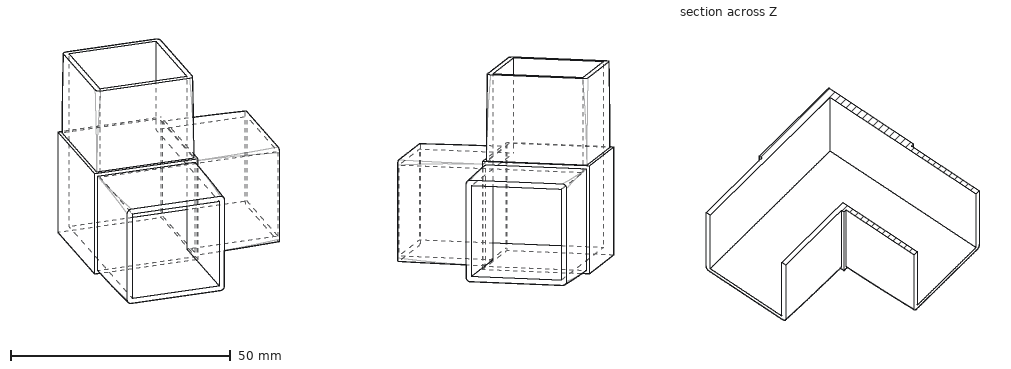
import cadquery as cq

CUBE_SIDE = 25.0
PLUG_LENGTH = 20.0
SHOULDER = 0.75
WALL = 1.25
TIP_RADIUS = 1.0
ROOT_RADIUS = 0.02
ROUNDING_POWER = 1.8
ROUNDING_STEPS = 4

PLUG_SIDE = CUBE_SIDE - 2 * SHOULDER
BORE_SIDE = PLUG_SIDE - 2 * WALL
HALF_CUBE = CUBE_SIDE / 2
TIP_DISTANCE = HALF_CUBE + PLUG_LENGTH
CUBE_WALL = (CUBE_SIDE - BORE_SIDE) / 2
BORE_DEPTH = PLUG_LENGTH + CUBE_SIDE - CUBE_WALL


def rounded_square(height, radius):
    """Closed square plug section at the given height, with rounded corners."""
    section = cq.Sketch().rect(PLUG_SIDE, PLUG_SIDE).vertices().fillet(radius)
    return section.moved(cq.Location(cq.Vector(0, 0, height)))


def make_plug():
    """Upright plug whose corner rounding grows from the root to the tip."""
    sections = []
    for step in range(ROUNDING_STEPS + 1):
        fraction = step / ROUNDING_STEPS
        radius = ROOT_RADIUS + (TIP_RADIUS - ROOT_RADIUS) * fraction ** ROUNDING_POWER
        sections.append(rounded_square(HALF_CUBE + PLUG_LENGTH * fraction, radius))
    return cq.Workplane("XY").placeSketch(*sections).loft()


def make_bore():
    """Upright square bore from the plug tip to the inside of the opposite cube wall."""
    floor = TIP_DISTANCE - BORE_DEPTH
    return cq.Workplane("XY").workplane(offset=floor).rect(BORE_SIDE, BORE_SIDE).extrude(BORE_DEPTH)


def three_ways(upright):
    """Copies of an upright body pointing along +Z, +X and +Y."""
    along_x = upright.rotate((0, 0, 0), (0, 1, 0), 90)
    along_y = upright.rotate((0, 0, 0), (1, 0, 0), -90)
    return [upright, along_x, along_y]


result = cq.Workplane("XY").box(CUBE_SIDE, CUBE_SIDE, CUBE_SIDE)

for plug in three_ways(make_plug()):
    result = result.union(plug)
for bore in three_ways(make_bore()):
    result = result.cut(bore)